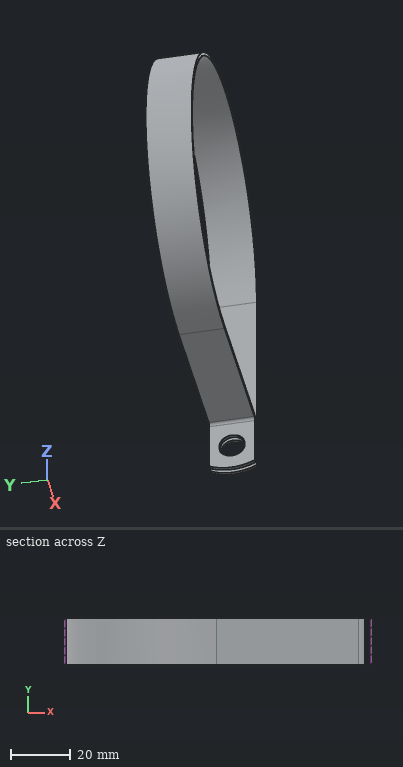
import cadquery as cq
import math

outer_radius = 52.8
total_height = 125.8
strip_width = 15.8
thickness = 1.2
short_leg_outer_x = 50.0
bend_inner_radius = 1.0
hole_diameter = 8.8
hole_height = 9.5
tip_rise = 1.8

inner_radius = outer_radius - thickness
bottom_z = outer_radius - total_height
short_leg_inner_x = short_leg_outer_x - thickness
bend_outer_radius = bend_inner_radius + thickness
bend_x = short_leg_outer_x - bend_outer_radius
bend_z = -inner_radius - bend_outer_radius
half_width = strip_width / 2


def arc_point(center_x, center_z, radius, degrees):
    angle = math.radians(degrees)
    return (center_x + radius * math.cos(angle), center_z + radius * math.sin(angle))


def make_strap():
    """Bent strip: long leg, three-quarter ring, flat run and short leg."""
    return (
        cq.Workplane("XZ")
        .moveTo(outer_radius, bottom_z)
        .lineTo(outer_radius, 0)
        .threePointArc(arc_point(0, 0, outer_radius, 135), (0, -outer_radius))
        .lineTo(bend_x, -outer_radius)
        .threePointArc(arc_point(bend_x, bend_z, bend_inner_radius, 45), (short_leg_inner_x, bend_z))
        .lineTo(short_leg_inner_x, bottom_z)
        .lineTo(short_leg_outer_x, bottom_z)
        .lineTo(short_leg_outer_x, bend_z)
        .threePointArc(arc_point(bend_x, bend_z, bend_outer_radius, 45), (bend_x, -inner_radius))
        .lineTo(0, -inner_radius)
        .threePointArc(arc_point(0, 0, inner_radius, 135), (inner_radius, 0))
        .lineTo(inner_radius, bottom_z)
        .close()
        .extrude(half_width, both=True)
    )


def make_side_envelope():
    """Side silhouette with the rounded lower end shared by both legs."""
    return (
        cq.Workplane("YZ")
        .moveTo(-half_width, outer_radius)
        .lineTo(-half_width, bottom_z + tip_rise)
        .threePointArc((0, bottom_z), (half_width, bottom_z + tip_rise))
        .lineTo(half_width, outer_radius)
        .close()
        .extrude(outer_radius, both=True)
    )


def make_bolt_hole():
    """Cylinder along X that passes through both legs."""
    return (
        cq.Workplane("YZ")
        .center(0, bottom_z + hole_height)
        .circle(hole_diameter / 2)
        .extrude(outer_radius)
    )


result = make_strap().intersect(make_side_envelope()).cut(make_bolt_hole())